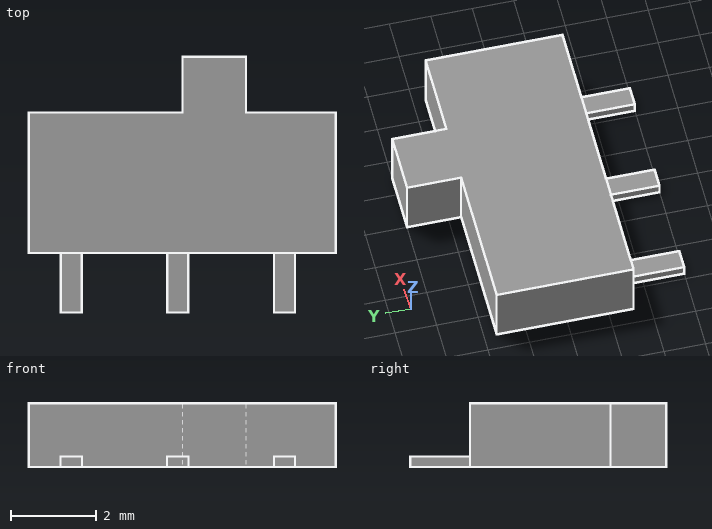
import cadquery as cq

body_length = 7.2
body_width = 3.3
body_height = 1.5

tab_width = 1.5
tab_reach = 1.3
tab_left = 0.0

lead_count = 3
lead_width = 0.5
lead_thickness = 0.25
lead_reach = 1.4
lead_pitch = 2.5
first_lead_left = -body_length / 2 + 0.75

body_front = -body_width / 2
body_back = body_width / 2


def block(left, front, length, width, height):
    """Block on Z = 0 with its left front corner at (left, front)."""
    return cq.Workplane("XY").box(length, width, height, centered=False).translate((left, front, 0))


body = block(-body_length / 2, body_front, body_length, body_width, body_height)
tab = block(tab_left, body_back, tab_width, tab_reach, body_height)

result = body.union(tab)
for index in range(lead_count):
    lead_left = first_lead_left + index * lead_pitch
    lead = block(lead_left, body_front - lead_reach, lead_width, lead_reach, lead_thickness)
    result = result.union(lead)